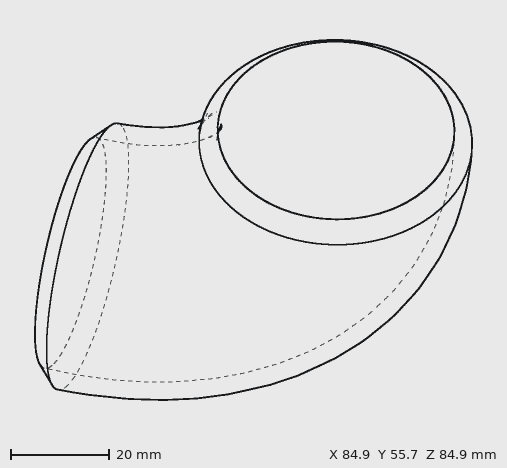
import cadquery as cq
import math

bend_radius = 55.95
outer_radius = 27.85
bore_radius = 24.1

rim_radius = 24.2
end_overhang = 0.85
end_tilt = 0.75

sweep_overrun = 6.0
trim_width = 6.8
trim_height = 17.0


def bend(radius):
    """Solid round bar bent about Y, slightly longer than a quarter turn."""
    return (
        cq.Workplane("XY")
        .center(bend_radius, 0)
        .circle(radius)
        .revolve(90 + 2 * sweep_overrun, (-bend_radius, 0), (-bend_radius, 1))
        .rotate((0, 0, 0), (0, 1, 0), -sweep_overrun)
    )


def end_cutter(centre, outward):
    """Removes everything beyond an end face and its 45 degree outer bevel."""
    plane = cq.Plane(origin=centre, xDir=(0, 1, 0), normal=(outward[2], 0, -outward[0]))
    reach = rim_radius + trim_width
    return (
        cq.Workplane(plane)
        .polyline([
            (0, 0),
            (rim_radius, 0),
            (reach, -trim_width),
            (reach, trim_height),
            (0, trim_height),
        ])
        .close()
        .revolve(360, (0, 0), (0, 1))
    )


tilt = math.radians(end_tilt)
top_end = end_cutter((bend_radius, 0, end_overhang), (math.sin(tilt), 0, math.cos(tilt)))
left_end = end_cutter((-end_overhang, 0, -bend_radius), (-math.cos(tilt), 0, -math.sin(tilt)))

result = bend(outer_radius).cut(bend(bore_radius)).cut(top_end).cut(left_end)